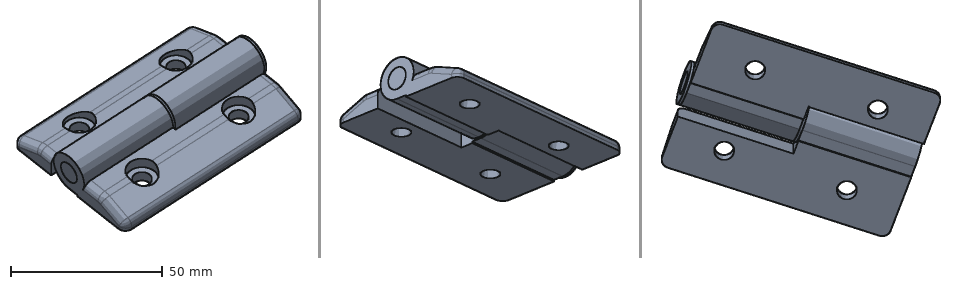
import cadquery as cq

total_length = 81.1
total_width = 55.0
total_height = 15.6

barrel_diameter = 15.0
barrel_radius = barrel_diameter / 2
pin_radius = 4.0
axis_height = total_height - barrel_radius
barrel_bottom = axis_height - barrel_radius
washer_thickness = 1.0
barrel_length = total_length / 2 - washer_thickness
front_y = -total_length / 2
middle_washer_y = front_y + barrel_length
end_washer_y = total_length / 2 - washer_thickness
turn_center_y = middle_washer_y + washer_thickness / 2

leaf_length = 80.05
leaf_middle_y = front_y + leaf_length / 2
outer_x = total_width / 2
inner_x = pin_radius
plate_height = 8.1
edge_height = 3.5
bend_x = 15.4
bend_radius = 6.65
edge_radius = 3.0
notch_x = 8.8

hole_x = 15.5
hole_spacing = 43.0
hole_diameter = 6.6
counterbore_diameter = 11.0
counterbore_floor = 4.05


def cylinder_along_y(radius, start_y, length):
    """Cylinder on the hinge axis, starting at start_y and running toward +Y."""
    center = cq.Vector(0, start_y, axis_height)
    return cq.Workplane(cq.Solid.makeCylinder(radius, length, center, cq.Vector(0, 1, 0)))


def make_plate():
    """Sloping plate with a rounded bend and rounded outer and end edges."""
    plate = (
        cq.Workplane("XZ", origin=(0, front_y, 0))
        .moveTo(inner_x, 0)
        .lineTo(outer_x, 0)
        .lineTo(outer_x, edge_height)
        .lineTo(bend_x, plate_height)
        .lineTo(inner_x, plate_height)
        .close()
        .extrude(-leaf_length)
    )
    bend_edge = cq.NearestToPointSelector((bend_x, leaf_middle_y, plate_height))
    plate = plate.edges(bend_edge).fillet(bend_radius)

    outer_edges = plate.faces(">X").edges("not <Z")
    end_rims = plate.faces("<Y or >Y").edges("not(<Z or <X or >X)")
    return end_rims.add(outer_edges).fillet(edge_radius)


def cut_notch(plate):
    """Clear the plate beside the other leaf's barrel."""
    notch = cq.Workplane("XY").box(
        notch_x, total_length, total_height, centered=False
    ).translate((0, middle_washer_y, 0))
    return plate.cut(notch)


def cut_screw_holes(plate):
    """Two counterbored holes centred along the plate."""
    for y in (leaf_middle_y - hole_spacing / 2, leaf_middle_y + hole_spacing / 2):
        hole = cq.Workplane("XY").center(hole_x, y).circle(hole_diameter / 2).extrude(plate_height)
        counterbore = (
            cq.Workplane("XY", origin=(hole_x, y, counterbore_floor))
            .circle(counterbore_diameter / 2)
            .extrude(plate_height)
        )
        plate = plate.cut(hole).cut(counterbore)
    return plate


def add_barrel(plate):
    """Join the barrel to the plate with a web under it, then bore it for the pin."""
    barrel = cylinder_along_y(barrel_radius, front_y, barrel_length)
    web = cq.Workplane("XY").box(
        inner_x, barrel_length, axis_height - barrel_bottom, centered=False
    ).translate((0, front_y, barrel_bottom))
    bore = cylinder_along_y(pin_radius, front_y, barrel_length)
    return plate.union(barrel).union(web).cut(bore)


def make_leaf():
    """Leaf on the +X side, with its barrel at the -Y end."""
    return add_barrel(cut_screw_holes(cut_notch(make_plate())))


def make_washer(start_y):
    """Ring around the pin, as wide as the barrels."""
    ring = cylinder_along_y(barrel_radius, start_y, washer_thickness)
    return ring.cut(cylinder_along_y(pin_radius, start_y, washer_thickness))


def make_pin():
    """Pin through both barrels and both washers."""
    return cylinder_along_y(pin_radius, front_y, total_length)


right_leaf = make_leaf()
left_leaf = make_leaf().rotate((0, turn_center_y, 0), (0, turn_center_y, 1), 180)
leaves = [right_leaf, left_leaf]
washers = [make_washer(y) for y in (middle_washer_y, end_washer_y)]
pin = make_pin()

result = cq.Compound.makeCompound([body.val() for body in [*leaves, *washers, pin]])